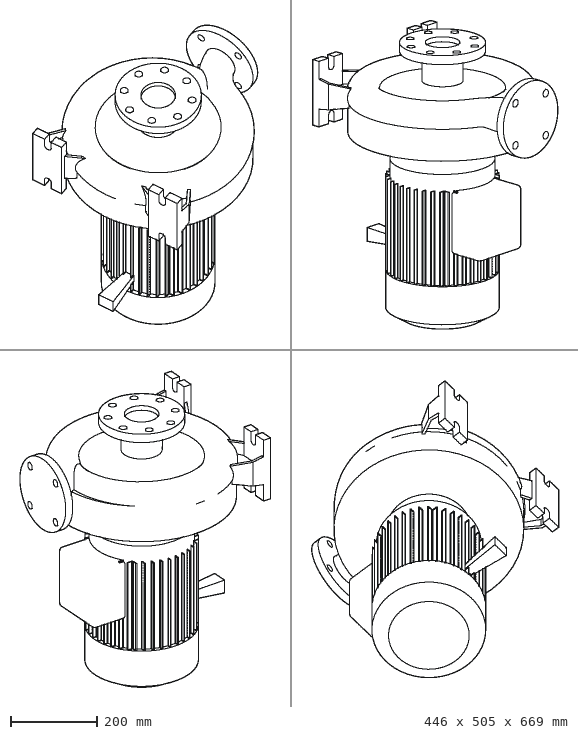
import cadquery as cq
import math


tube_radius = 40.0
volute_radius = 183.0
discharge_face_y = 280.0
discharge_flange_radius = 92.5
discharge_flange_thickness = 20.0
discharge_bolt_circle = 145.0
discharge_bolt_count = 4

bend_radius = (discharge_face_y**2 - volute_radius**2) / (2 * volute_radius)
bend_start_angle = math.degrees(math.atan2(discharge_face_y, bend_radius))
taper_start_angle = 180.0
taper_end_radius = 27.5
taper_sections = 5

casing_radius = 220.0
casing_bottom_z = -93.0
cover_outer_radius = 160.0
cover_outer_z = 12.5
cover_inner_z = 32.0
suction_pipe_radius = 48.0
suction_face_z = 125.0
suction_flange_radius = 100.0
suction_flange_thickness = 22.0
suction_bolt_circle = 160.0
suction_bolt_count = 8
suction_bore_radius = 40.0
suction_bore_depth = 12.0
bolt_hole_diameter = 18.0

neck_radius = 98.0
neck_bottom_z = -124.5
core_radius = 122.0
shoulder_bottom_z = -157.5
motor_radius = 132.0
fin_top_z = -198.0
fin_bottom_z = -428.0
fin_thickness = 2.0
fin_root_depth = 2.0
fin_pitch_angle = 9.0
fins_per_quadrant = 10
fan_cover_bottom_z = -520.5
base_radius = 93.5
base_z = -544.0

box_width = 145.0
box_back_y = 187.0
box_top_z = fin_top_z
box_bottom_z = -354.0
box_edge_radius = 11.0

lug_root_y = -112.0
lug_end_y = -221.0
lug_centre_z = -388.5
lug_end_width = 40.0
lug_end_height = 34.0
lug_root_width = 22.4
lug_root_height = 18.6

foot_outer_x = 200.0
foot_width = 80.0
foot_height = 160.0
foot_face_y = -225.0
foot_thickness = 20.0
foot_slot_x = 158.0
foot_slot_width = 18.0
foot_slot_depth = 30.0
rib_thickness = 7.0
rib_half_height = 36.5
rib_height_slope = 0.17
rib_slant = math.radians(30.0)
rib_bend_y = -174.5
outer_rib_length = 70.0
inner_rib_length = 50.0
web_thickness = 10.0


def box_between(x0, x1, y0, y1, z0, z1):
    """Rectangular block between opposite corners."""
    return cq.Workplane("XY").box(x1 - x0, y1 - y0, z1 - z0, centered=False).translate((x0, y0, z0))


def make_body():
    """Turned body: motor core, neck, casing, sloping cover, suction pipe and flange."""
    suction_flange_z = suction_face_z - suction_flange_thickness
    profile = [
        (0, base_z),
        (base_radius, base_z),
        (motor_radius, fan_cover_bottom_z),
        (motor_radius, fin_bottom_z),
        (core_radius, fin_bottom_z),
        (core_radius, shoulder_bottom_z),
        (neck_radius, neck_bottom_z),
        (neck_radius, casing_bottom_z),
        (casing_radius, casing_bottom_z),
        (casing_radius, 0),
        (cover_outer_radius, 0),
        (cover_outer_radius, cover_outer_z),
        (suction_pipe_radius, cover_inner_z),
        (suction_pipe_radius, suction_flange_z),
        (suction_flange_radius, suction_flange_z),
        (suction_flange_radius, suction_face_z),
        (0, suction_face_z),
    ]
    return cq.Workplane("XZ").polyline(profile).close().revolve(360, (0, 0), (0, 1))


def radial_plane(angle):
    """Plane through the Z axis whose local X points outward at the given angle."""
    direction = math.radians(angle)
    outward = (math.cos(direction), math.sin(direction), 0)
    tangent = (-math.sin(direction), math.cos(direction), 0)
    return cq.Plane(origin=(0, 0, 0), xDir=outward, normal=tangent)


def make_constant_volute():
    """Round tube of constant size from -X, past -Y and +X, to the start of the outlet bend."""
    sweep_angle = taper_start_angle + bend_start_angle
    section = cq.Workplane(radial_plane(taper_start_angle)).center(volute_radius, 0).circle(tube_radius)
    return section.revolve(sweep_angle, (-volute_radius, 0), (-volute_radius, -1))


def make_tapered_volute():
    """Tube that narrows towards the outlet, keeping the inner radius of the volute."""
    inner_radius = volute_radius - tube_radius
    wires = []
    for index in range(taper_sections):
        fraction = index / (taper_sections - 1)
        angle = taper_start_angle + fraction * (bend_start_angle - taper_start_angle)
        radius = tube_radius - fraction**2 * (tube_radius - taper_end_radius)
        plane = radial_plane(angle)
        centre = plane.toWorldCoords((inner_radius + radius, 0))
        wires.append(cq.Wire.makeCircle(radius, centre, plane.zDir))
    return cq.Workplane(cq.Solid.makeLoft(wires))


def make_outlet():
    """Outlet bend and its flange."""
    bend = (
        cq.Workplane("XZ", origin=(0, discharge_face_y, 0))
        .circle(tube_radius)
        .revolve(bend_start_angle, (bend_radius, 0), (bend_radius, 1))
    )
    flange = (
        cq.Workplane("XZ", origin=(0, discharge_face_y, 0))
        .circle(discharge_flange_radius)
        .polarArray(discharge_bolt_circle / 2, 180 / discharge_bolt_count, 360, discharge_bolt_count)
        .circle(bolt_hole_diameter / 2)
        .extrude(discharge_flange_thickness)
    )
    return bend.union(flange)


def cut_suction(body):
    """Blind bore and bolt holes in the suction flange."""
    bore = (
        cq.Workplane("XY", origin=(0, 0, suction_face_z))
        .circle(suction_bore_radius)
        .extrude(-suction_bore_depth)
    )
    holes = (
        cq.Workplane("XY", origin=(0, 0, suction_face_z))
        .polarArray(suction_bolt_circle / 2, 180 / suction_bolt_count, 360, suction_bolt_count)
        .circle(bolt_hole_diameter / 2)
        .extrude(-suction_flange_thickness)
    )
    return body.cut(bore).cut(holes)


def make_fins():
    """Cooling fins, parallel to the middle direction of each quadrant."""
    fins = cq.Workplane("XY")
    for index in range(fins_per_quadrant):
        angle = math.radians((index - (fins_per_quadrant - 1) / 2) * fin_pitch_angle)
        x = motor_radius * math.sin(angle)
        fin = box_between(
            x - fin_thickness / 2, x + fin_thickness / 2, -motor_radius, 0, fin_bottom_z, fin_top_z
        )
        for quadrant in range(4):
            fins = fins.add(fin.rotate((0, 0, 0), (0, 0, 1), 90 * quadrant))
    envelope = (
        cq.Workplane("XY", origin=(0, 0, fin_bottom_z))
        .circle(motor_radius)
        .circle(core_radius - fin_root_depth)
        .extrude(fin_top_z - fin_bottom_z)
    )
    return envelope.intersect(fins.combine())


def make_terminal_box():
    """Terminal box on the +Y side of the motor, with rounded outer edges."""
    box = box_between(-box_width / 2, box_width / 2, 0, box_back_y, box_bottom_z, box_top_z)
    return box.edges("|Y or >Y").fillet(box_edge_radius)


def make_lug():
    """Lug that widens from the motor outward."""
    return (
        cq.Workplane("XZ", origin=(0, lug_root_y, lug_centre_z))
        .rect(lug_root_width, lug_root_height)
        .workplane(offset=lug_root_y - lug_end_y)
        .rect(lug_end_width, lug_end_height)
        .loft()
    )


def make_foot():
    """Foot on the +X side: slotted plate, two tapering ribs and the web between them."""
    inner_x = foot_outer_x - foot_width
    back_y = foot_face_y + foot_thickness
    plate = box_between(inner_x, foot_outer_x, foot_face_y, back_y, -foot_height / 2, foot_height / 2)
    slots = (
        cq.Workplane("XZ", origin=(foot_slot_x, foot_face_y, 0))
        .pushPoints([(0, foot_height / 2), (0, -foot_height / 2)])
        .slot2D(2 * foot_slot_depth, foot_slot_width, 90)
        .extrude(-foot_thickness)
    )

    sin_slant = math.sin(rib_slant)
    cos_slant = math.cos(rib_slant)
    outer_tip = (
        foot_outer_x - outer_rib_length * sin_slant,
        rib_bend_y + outer_rib_length * cos_slant,
    )
    inner_tip = (
        inner_x - inner_rib_length * cos_slant,
        back_y + inner_rib_length * sin_slant,
    )
    inner_step = rib_thickness / cos_slant
    outer_rib = [
        (foot_outer_x, back_y),
        (foot_outer_x, rib_bend_y),
        outer_tip,
        (outer_tip[0] - rib_thickness * cos_slant, outer_tip[1] - rib_thickness * sin_slant),
        (foot_outer_x - rib_thickness, rib_bend_y - rib_thickness * math.tan(rib_slant / 2)),
        (foot_outer_x - rib_thickness, back_y),
    ]
    inner_rib = [
        (inner_x, back_y),
        inner_tip,
        (inner_tip[0], inner_tip[1] - inner_step),
        (inner_x, back_y - inner_step),
    ]
    web_outline = [
        (foot_outer_x, back_y),
        (foot_outer_x, rib_bend_y),
        outer_tip,
        inner_tip,
        (inner_x, back_y),
    ]
    ribs = cq.Workplane("XY")
    for outline in (outer_rib, inner_rib):
        rib = cq.Workplane("XY").polyline(outline).close().extrude(foot_height / 2, both=True)
        ribs = ribs.add(rib)

    axis_half_height = rib_half_height + rib_height_slope * back_y
    front_half_height = rib_half_height + rib_height_slope * foot_thickness
    wedge = (
        cq.Workplane("YZ")
        .polyline([
            (0, -axis_half_height),
            (foot_face_y, -front_half_height),
            (foot_face_y, front_half_height),
            (0, axis_half_height),
        ])
        .close()
        .extrude(foot_outer_x)
    )
    web = cq.Workplane("XY").polyline(web_outline).close().extrude(web_thickness / 2, both=True)
    return plate.cut(slots).union(wedge.intersect(ribs.combine())).union(web)


foot = make_foot()
result = make_body()
for piece in (
    make_constant_volute(),
    make_tapered_volute(),
    make_outlet(),
    make_fins(),
    make_terminal_box(),
    make_lug(),
    foot,
    foot.mirror("YZ"),
):
    result = result.union(piece)
result = cut_suction(result)